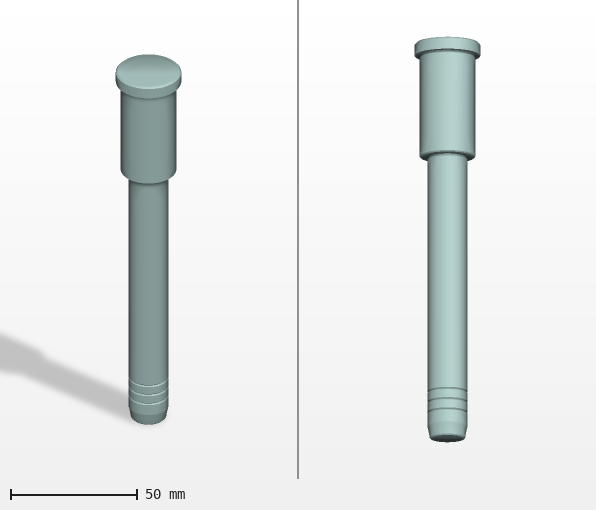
import cadquery as cq

total_length = 160.0
head_radius = 13.0
head_height = 5.0
head_chamfer = 0.6
body_radius = 11.0
body_end_depth = 46.0
body_chamfer = 0.5
shaft_radius = 8.0
relief_width = 1.0
relief_depth = 0.5
groove_width = 1.0
groove_depth = 0.5
groove_pitch = 4.2
groove_count = 3
lowest_groove_height = 10.4
tip_height = 5.3
tip_radius = 7.0
tip_bulge = 0.08
end_chamfer = 0.5

head_bottom = total_length - head_height
body_bottom = total_length - body_end_depth


def cylinder(radius, bottom, top):
    return cq.Workplane("XY").workplane(offset=bottom).circle(radius).extrude(top - bottom)


def cut_ring(pin, outer_radius, depth, bottom, width):
    """Turn a square groove into a cylindrical stretch of the pin."""
    ring = cylinder(outer_radius, bottom, bottom + width).cut(
        cylinder(outer_radius - depth, bottom, bottom + width)
    )
    return pin.cut(ring)


def cut_vee_groove(pin, surface_radius, height):
    """Turn a V groove centred at the given height."""
    vee = (
        cq.Workplane("XZ")
        .moveTo(surface_radius, height - groove_width / 2)
        .lineTo(surface_radius - groove_depth, height)
        .lineTo(surface_radius, height + groove_width / 2)
        .close()
        .revolve(360, (0, 0, 0), (0, 1, 0))
    )
    return pin.cut(vee)


def make_tip():
    """Lead-in with a concave flank and a small chamfer at the free end."""
    flank_middle = (
        (shaft_radius + tip_radius) / 2 - tip_bulge,
        (tip_height + end_chamfer) / 2,
    )
    return (
        cq.Workplane("XZ")
        .moveTo(0, 0)
        .lineTo(tip_radius - end_chamfer, 0)
        .lineTo(tip_radius, end_chamfer)
        .threePointArc(flank_middle, (shaft_radius, tip_height))
        .lineTo(0, tip_height)
        .close()
        .revolve(360, (0, 0, 0), (0, 1, 0))
    )


head = cylinder(head_radius, head_bottom, total_length).faces(">Z").chamfer(head_chamfer)
body = cylinder(body_radius, body_bottom, head_bottom).faces("<Z").chamfer(body_chamfer)
shaft = cylinder(shaft_radius, tip_height, body_bottom)
result = head.union(body).union(shaft).union(make_tip())

result = cut_vee_groove(result, body_radius, head_bottom - groove_width / 2)
result = cut_ring(result, shaft_radius, relief_depth, body_bottom - relief_width, relief_width)

for index in range(groove_count):
    groove_height = lowest_groove_height + index * groove_pitch
    result = cut_vee_groove(result, shaft_radius, groove_height)